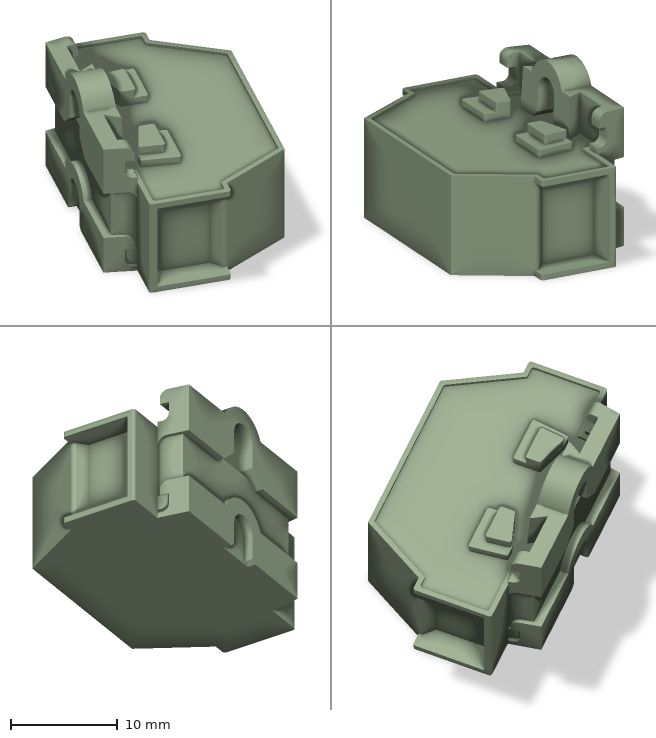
import cadquery as cq
import math

housing_half = 14.0
housing_height = 10.0
rear_y = 14.85
rear_half = 8.65
shoulder_y = 8.0
shoulder_half = 12.58
corner_radius = 0.28
rim_width = 0.5
recess_depth = 0.3
floor_z = housing_height - recess_depth

pocket_wall = 0.6
pocket_floor_x = 11.55
pocket_bevel_y = 6.67
pocket_nose = (12.32, 7.37)
pocket_nose_middle = (12.58, 7.65)
pocket_front_inner_y = 1.18
pocket_front_outer_y = 0.75

plate_front_y = -3.17
plate_front_half = 9.45
plate_back_half = 10.03
neck_front_y = -2.32
neck_front_half = 9.15
neck_back_half = 9.65
upper_plate_top = 13.92
lower_plate_top = upper_plate_top - housing_height
plate_height = 5.0
upper_plate_bottom = upper_plate_top - plate_height

arch_crown_rise = 2.0
arch_radius = 3.22
slot_half = 1.6
slot_flare_half = 3.33
slot_flare_drop = 3.53
arch_center_rise = arch_crown_rise - arch_radius

latch_inner_x = 7.0
latch_outer_x = 11.2
lip_gap = 0.25
lip_radius = 0.87
notch_depth = 1.15
notch_top_drop = 1.48
notch_bottom_drop = 3.4
notch_radius = 0.73
plug_depth = 0.98
plug_bottom_drop = 3.0
plug_radius = 0.78
plug_inset = 0.08
root_radius = 0.98

channel_front_y = -1.45
dovetail_front_half = 3.85
dovetail_back_half = 4.85
dovetail_back_y = 0.22
dovetail_top_back_y = -0.08
channel_front_half = 8.23
channel_back_half = 8.5

key_inner_x = 3.0
key_inner_front = (key_inner_x, 2.25)
low_pad_top = 10.48
low_pad_rear_y = 5.0
low_pad_outline = [
    key_inner_front,
    (key_inner_x, low_pad_rear_y),
    (7.8, low_pad_rear_y),
    (7.3, 1.15),
    (6.3, 1.15),
]
high_pad_top = 11.4
high_pad_rear_y = 3.75
high_pad_outline = [
    key_inner_front,
    (key_inner_x, high_pad_rear_y),
    (6.7, high_pad_rear_y),
    (6.4, 1.18),
]
key_corner_radius = 0.22

arc_midpoint = math.sqrt(0.5)
overcut = 1.4


def prism(points, z_low, z_high):
    """Upright prism over a polygon in X and Y."""
    return cq.Workplane("XY").workplane(offset=z_low).polyline(points).close().extrude(z_high - z_low)


def both_sides(shape):
    """Add the copy mirrored across the plane x = 0."""
    return shape.union(shape.mirror("YZ"))


def symmetric(right_points):
    """Close a right-hand point chain with its mirror image."""
    return right_points + [(-x, y) for x, y in reversed(right_points)]


def taper(front_half, back_half, front_y, z_low, z_high):
    """Block that widens from front_y back to the housing face."""
    return prism(symmetric([(front_half, front_y), (back_half, 0)]), z_low, z_high)


def centered_slab(z_low, z_high):
    """Level slab, larger than the mounting front, between two heights."""
    plane = cq.Workplane("XY").workplane(offset=z_low)
    return plane.rect(2 * housing_half, 2 * housing_half).extrude(z_high - z_low)


def along_y(sketch, y_front, y_back):
    """Extrude a function's X-Z outline from y_front to y_back."""
    plane = cq.Workplane("XZ", origin=(0, y_back, 0))
    return sketch(plane).extrude(y_back - y_front)


def plate_taper(z_low, z_high, inset=0):
    """Tapered plate block, optionally narrowed on both sides."""
    return taper(plate_front_half - inset, plate_back_half - inset, plate_front_y, z_low, z_high)


def latch_plane():
    """Y-Z sketch plane at the inner end of the right-hand latch."""
    return cq.Workplane("YZ", origin=(latch_inner_x, 0, 0))


def round_side_corners(block):
    """Round the upright corners at the left and right ends."""
    ends = block.faces("<X").edges("|Z").add(block.faces(">X").edges("|Z"))
    return ends.fillet(corner_radius)


def make_housing():
    """Housing with its rimmed top recess and open side pockets."""
    outline = symmetric([
        (housing_half, 0),
        (housing_half, shoulder_y),
        (shoulder_half, shoulder_y),
        (rear_half, rear_y),
    ])
    block = prism(outline, 0, housing_height)
    rim = block.faces(">Z").wires().toPending().workplane().offset2D(-rim_width, "intersection")
    recess = rim.extrude(-recess_depth, combine=False)
    block = round_side_corners(block)
    recess = round_side_corners(recess)
    pocket = (
        cq.Workplane("XY").workplane(offset=pocket_wall)
        .moveTo(shoulder_half, shoulder_y)
        .threePointArc(pocket_nose_middle, pocket_nose)
        .lineTo(pocket_floor_x, pocket_bevel_y)
        .lineTo(pocket_floor_x, pocket_front_inner_y)
        .lineTo(housing_half, pocket_front_outer_y)
        .lineTo(housing_half + overcut, pocket_front_outer_y)
        .lineTo(housing_half + overcut, shoulder_y)
        .close()
        .extrude(housing_height - 2 * pocket_wall)
    )
    return block.cut(recess).cut(both_sides(pocket))


def latch_opening(top):
    """Rounded lip above a hooked notch, cut across both plate ends."""
    lip_mid = lip_radius * (1 - arc_midpoint)
    notch_mid = notch_radius * (1 - arc_midpoint)
    notch_bottom = top - notch_bottom_drop
    opening = (
        latch_plane()
        .moveTo(0, top)
        .lineTo(-lip_gap - lip_radius, top)
        .threePointArc((-lip_gap - lip_mid, top - lip_mid), (-lip_gap, top - lip_radius))
        .lineTo(-lip_gap, top - notch_top_drop)
        .lineTo(-notch_depth, top - notch_top_drop)
        .lineTo(-notch_depth, notch_bottom + notch_radius)
        .threePointArc(
            (-notch_depth + notch_mid, notch_bottom + notch_mid),
            (-notch_depth + notch_radius, notch_bottom),
        )
        .lineTo(0, notch_bottom)
        .close()
        .extrude(latch_outer_x - latch_inner_x)
    )
    return both_sides(opening)


def plate(top, bottom):
    """Clip plate with a latch opening at each end."""
    return plate_taper(bottom, top).cut(latch_opening(top))


def latch_plugs(top):
    """Plugs that fill the lower notches, leaving a gap below and in front."""
    plug_mid = plug_radius * (1 - arc_midpoint)
    plug_bottom = top - plug_bottom_drop
    plug = (
        latch_plane()
        .moveTo(0, top - notch_top_drop)
        .lineTo(-plug_depth, top - notch_top_drop)
        .lineTo(-plug_depth, plug_bottom + plug_radius)
        .threePointArc(
            (-plug_depth + plug_mid, plug_bottom + plug_mid),
            (-plug_depth + plug_radius, plug_bottom),
        )
        .lineTo(0, plug_bottom)
        .close()
        .extrude(latch_outer_x - latch_inner_x)
    )
    envelope = plate_taper(0, top, plug_inset)
    return both_sides(plug).intersect(envelope)


def root_fillets():
    """Concave fillets between the upper plate underside and the housing."""
    root_mid = root_radius * (1 - arc_midpoint)
    fillet = (
        latch_plane()
        .moveTo(0, upper_plate_bottom)
        .lineTo(-root_radius, upper_plate_bottom)
        .threePointArc((-root_mid, upper_plate_bottom - root_mid), (0, upper_plate_bottom - root_radius))
        .close()
        .extrude(latch_outer_x - latch_inner_x)
    )
    envelope = plate_taper(0, upper_plate_top)
    return both_sides(fillet).intersect(envelope)


def arch(top, back_y):
    """Round hump on the plate: the part of a disc above the plate top."""
    center = top + arch_center_rise
    disc = along_y(lambda plane: plane.center(0, center).circle(arch_radius), plate_front_y, back_y)
    above = centered_slab(top, top + arch_crown_rise)
    return disc.intersect(above)


def slot(top, back_y):
    """Keyhole slot with a flared mouth at its lower end."""
    center = top + arch_center_rise
    flare_bottom = top - plate_height

    def outline(plane):
        return (
            plane.moveTo(-slot_flare_half, flare_bottom)
            .lineTo(slot_flare_half, flare_bottom)
            .lineTo(slot_half, top - slot_flare_drop)
            .lineTo(slot_half, center)
            .threePointArc((0, center + slot_half), (-slot_half, center))
            .lineTo(-slot_half, top - slot_flare_drop)
            .close()
        )

    return along_y(outline, plate_front_y - overcut, back_y)


def channels():
    """Space above the housing behind the upper plate, with the recess floor continued into it."""
    crown = upper_plate_top + arch_crown_rise
    above = prism(
        symmetric([(channel_front_half, channel_front_y), (channel_back_half, 0)]),
        housing_height, crown,
    )
    floor = prism(
        symmetric([
            (channel_front_half - rim_width, channel_front_y),
            (channel_back_half - rim_width, 0),
            (channel_back_half - rim_width, rim_width),
        ]),
        floor_z, crown,
    )
    return above.union(floor)


def dovetail():
    """Central dovetail and arch, with a back face that leans forward toward the top."""
    crown = upper_plate_top + arch_crown_rise
    block = prism(
        symmetric([(dovetail_front_half, channel_front_y), (dovetail_back_half, dovetail_back_y)]),
        floor_z, upper_plate_top,
    )
    lean = (
        cq.Workplane("YZ", origin=(-latch_outer_x, 0, 0))
        .polyline([
            (plate_front_y, floor_z),
            (dovetail_back_y, floor_z),
            (dovetail_top_back_y, crown),
            (plate_front_y, crown),
        ])
        .close()
        .extrude(2 * latch_outer_x)
    )
    return block.union(arch(upper_plate_top, dovetail_back_y)).intersect(lean)


def keys():
    """Stepped keys: a low pad carrying a smaller raised pad."""
    low_pad = prism(low_pad_outline, floor_z, low_pad_top).edges("|Z").fillet(key_corner_radius)
    high_pad = prism(high_pad_outline, floor_z, high_pad_top).edges("|Z").fillet(key_corner_radius)
    return both_sides(low_pad.union(high_pad))


neck = taper(neck_front_half, neck_back_half, neck_front_y, 0, housing_height)

slot_above_floor = slot(upper_plate_top, rim_width).intersect(
    centered_slab(floor_z, upper_plate_top + arch_crown_rise)
)

result = (
    make_housing()
    .union(neck)
    .union(plate(upper_plate_top, upper_plate_bottom))
    .union(plate(lower_plate_top, 0))
    .union(root_fillets())
    .union(latch_plugs(lower_plate_top))
    .union(arch(lower_plate_top, neck_front_y))
    .cut(channels())
    .union(dovetail())
    .cut(slot(lower_plate_top, neck_front_y))
    .cut(slot(upper_plate_top, neck_front_y))
    .cut(slot_above_floor)
    .union(keys())
)